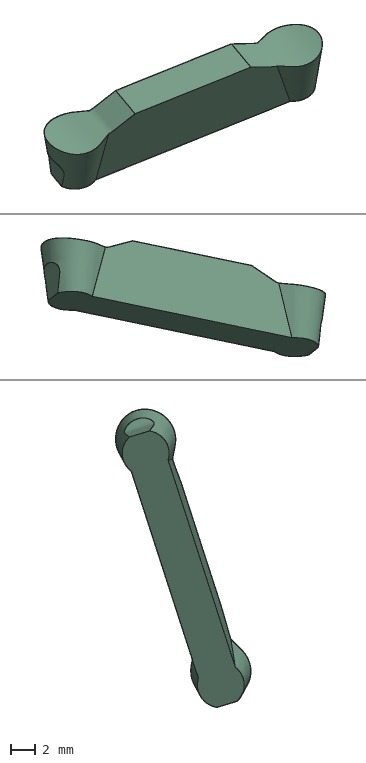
import cadquery as cq
import math

length = 25.9
height = 5.8
end_y = -length / 2

body_half_width = 1.6
nose_radius = 2.5
foot_radius = 1.95
rim_height = 4.53
nose_growth = (nose_radius - foot_radius) / rim_height
flank_angle = math.radians(28)

tip_height = 4.82
nose_y = end_y + foot_radius + nose_growth * tip_height
dish_low_height = 4.5
dish_low_y = end_y + 2.43
dish_end_y = end_y + 3.47
blend_start_y = end_y + 4.82
blend_end_y = end_y + 5.3
ramp_top_y = end_y + 7.4

relief_depth = 0.8
relief_flat_height = 1.65
relief_radius = 1.6
relief_angle = math.radians(49)


def dish_profile_solid():
    """Half-length side profile, extruded wider than the nose."""
    reach = dish_low_y - end_y
    rise = tip_height - dish_low_height
    dish_radius = (reach ** 2 + rise ** 2) / (2 * rise)
    dish_angle = math.asin((dish_end_y - dish_low_y) / dish_radius)
    dish_end_z = dish_low_height + dish_radius * (1 - math.cos(dish_angle))
    blend_start_z = dish_end_z + (blend_start_y - dish_end_y) * math.tan(dish_angle)

    ramp_angle = math.atan2(height - blend_start_z, ramp_top_y - blend_start_y)
    chord_angle = (dish_angle + ramp_angle) / 2
    blend_end_z = blend_start_z + (blend_end_y - blend_start_y) * math.tan(chord_angle)
    return (
        cq.Workplane("YZ")
        .moveTo(end_y, 0)
        .lineTo(end_y, tip_height)
        .threePointArc((dish_low_y, dish_low_height), (dish_end_y, dish_end_z))
        .lineTo(blend_start_y, blend_start_z)
        .tangentArcPoint((blend_end_y, blend_end_z), relative=False)
        .lineTo(ramp_top_y, height)
        .lineTo(0, height)
        .lineTo(0, 0)
        .close()
        .extrude(2 * nose_radius, both=True)
    )


def nose_outline(workplane, radius):
    """Teardrop: a round front whose tangent flanks meet inside the body."""
    tangent_x = radius * math.cos(flank_angle)
    tangent_y = nose_y + radius * math.sin(flank_angle)
    apex_y = nose_y + radius / math.sin(flank_angle)
    return (
        workplane.moveTo(tangent_x, tangent_y)
        .threePointArc((0, nose_y - radius), (-tangent_x, tangent_y))
        .lineTo(0, apex_y)
        .close()
    )


def tapered_nose():
    top_radius = foot_radius + nose_growth * height
    foot = nose_outline(cq.Workplane("XY"), foot_radius)
    return nose_outline(foot.workplane(offset=height), top_radius).loft(ruled=True)


def tip_relief():
    """Flat front relief that curves outward into the nose at its top."""
    flat_y = end_y + relief_depth

    def arc_point(angle):
        return (
            flat_y - relief_radius * (1 - math.cos(angle)),
            relief_flat_height + relief_radius * math.sin(angle),
        )

    arc_end = arc_point(relief_angle)
    return (
        cq.Workplane("YZ")
        .moveTo(flat_y, 0)
        .lineTo(flat_y, relief_flat_height)
        .threePointArc(arc_point(relief_angle / 2), arc_end)
        .lineTo(end_y, arc_end[1])
        .lineTo(end_y, 0)
        .close()
        .extrude(nose_radius, both=True)
    )


def body_block():
    """Straight body, starting inside the nose so that no corner stands proud at the foot."""
    foot_start_y = nose_y + foot_radius * math.sin(flank_angle)
    return (
        cq.Workplane("XY")
        .box(2 * body_half_width, -foot_start_y, height, centered=(True, False, False))
        .translate((0, foot_start_y, 0))
    )


half = body_block().union(tapered_nose()).intersect(dish_profile_solid()).cut(tip_relief())
result = half.union(half.mirror("XZ"))